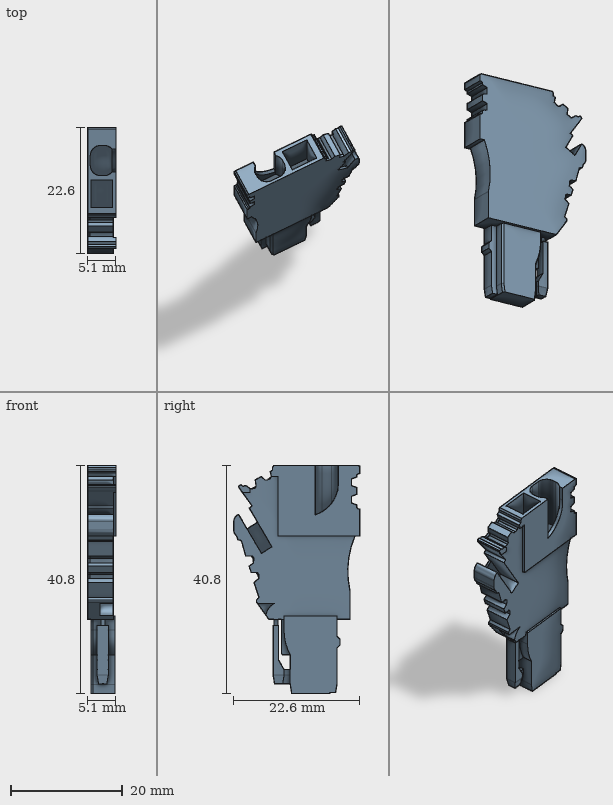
import cadquery as cq


FULL_WIDTH = 5.1
BODY_WIDTH = 4.6
HOUSING_HEIGHT = 27.5
TOP_DEPTH = 15.4
TOP_BEVEL_DEPTH = 0.3
TOP_BEVEL_DROP = 0.1
BROW_BEVEL_DROP = 0.36

BACK_LAND_TOP = 26.1
BACK_LAND_BOTTOM = 19.75
GRIP_FACE_DEPTH = 0.54
GRIP_NOTCH_DEPTH = 1.5
GRIP_NOTCH_HEIGHTS = (24.5, 21.4)
GRIP_NOTCH_FLOOR = 1.15
GRIP_NOTCH_MOUTH = 1.87
GRIP_CHAMFER = 0.25

PLATE_BOTTOM = 14.86
PLATE_FRONT_DEPTH = 14.6
BROW_PLATE_DEPTH = 16.15
BROW_PLATE_BOTTOM = 25.5
FANG_PLATE_DEPTH = 19.66
FANG_PLATE_LENGTH = 2.2
FANG_PLATE_BOTTOM = 22.65

WEB_WIDTH = 0.45

SLOT_FLOOR_FRONT = (20.16, 16.18)
SLOT_FLOOR_BACK = (18.3, 17.37)
SLOT_MOUTH_BACK = (19.77, 19.88)
SLOT_LEFT_WALL = 0.45
SLOT_EXTRA_RATIO = 1.75

ENTRY_LENGTH = 5.43
ENTRY_CORNER_RADIUS = 1.9
ENTRY_X = 2.65
ENTRY_DEPTH_POS = 5.92
ENTRY_X_MIN = 0.48
ENTRY_X_MAX = 4.4
ENTRY_BORE_DEPTH = 10.0
ENTRY_WINDOW = 4.12
ENTRY_WINDOW_BACK_DROP = 2.7
ENTRY_WINDOW_MID_DROP = 6.5
ENTRY_WINDOW_FRONT_DROP = 8.8

POCKET_X = (0.6, 4.45)
POCKET_DEPTHS = (9.37, 14.27)
POCKET_BORE_DEPTH = 10.0

RECESS_X_MIN = 2.24
RECESS_TOP = 2.85
RECESS_BOTTOM = 0.7
RECESS_BACK_DEPTH = 15.3
RECESS_MID = (16.2, 2.1)
RECESS_LIP_DEPTH = 16.8
RECESS_CLEARANCE_DEPTH = 19.0

PLUG_X_MIN = 0.6
PLUG_X_MAX = 4.95
PLUG_TOP = 0.65
PLUG_BOTTOM = -13.25
PLUG_BACK_DEPTH = 5.14
PLUG_FRONT_DEPTH = 12.46
PLUG_UPPER_FRONT_DEPTH = 13.55
PLUG_CURVE_TOP = -1.9
PLUG_CURVE_MID = (13.27, -4.2)
PLUG_CURVE_BOTTOM = -6.35
PLUG_TAPER_START = -11.6
PLUG_TAPER = 0.25
PLUG_CHAMFER_X = 0.4
PLUG_CHAMFER_DEPTH = 0.3

RIB_X_MIN = 2.6
RIB_BACK_DEPTH = 4.08
RIB_BOTTOM = -13.1
KEY_BACK_DEPTH = 3.55
KEY_HEIGHTS = (-5.1, -3.0)
KEY_SLOPE = 0.53

BLADE_X = (1.7, 3.72)
BLADE_DEPTHS = (14.52, 15.52)
BLADE_TOP = -1.05
BLADE_BOTTOM = -11.5
BLADE_TAPER_START = -9.95
BLADE_SIDE_TAPER = 0.28
BLADE_END_TAPER = 0.25
BLADE_TOE_DEPTH = 13.54
BLADE_TOE_SLOPE_TOP = -7.25
BLADE_TOE_TOP = -8.95
NECK_X = (2.42, 3.1)
NECK_DEPTHS = (14.6, 15.35)
FIN_FRONT_DEPTH = 14.04
FIN_CHAMFER = 0.25

JOIN = 0.5


def yz(points):
    """Turn (depth, height) pairs into (Y, Z) pairs."""
    return [(-depth, height) for depth, height in points]


def prism(points, x_range):
    """Extrude a closed (depth, height) polygon between two X positions."""
    start, end = x_range
    return cq.Workplane("YZ", (start, 0, 0)).polyline(yz(points)).close().extrude(end - start)


def block(x_range, depths, heights):
    """Box between two X positions, two depths and two heights."""
    near, far = depths
    low, high = heights
    return prism([(near, low), (far, low), (far, high), (near, high)], x_range)


def grip_back_points():
    """Toothed back edge, from the top down to the back land."""
    points = [
        (0, BACK_LAND_TOP),
        (GRIP_FACE_DEPTH, BACK_LAND_TOP - GRIP_CHAMFER),
    ]
    for middle in GRIP_NOTCH_HEIGHTS:
        points += [
            (GRIP_FACE_DEPTH, middle + GRIP_NOTCH_MOUTH / 2),
            (GRIP_NOTCH_DEPTH, middle + GRIP_NOTCH_FLOOR / 2),
            (GRIP_NOTCH_DEPTH, middle - GRIP_NOTCH_FLOOR / 2),
            (GRIP_FACE_DEPTH, middle - GRIP_NOTCH_MOUTH / 2),
        ]
    points += [
        (GRIP_FACE_DEPTH, BACK_LAND_BOTTOM + GRIP_CHAMFER),
        (GRIP_FACE_DEPTH - GRIP_CHAMFER, BACK_LAND_BOTTOM),
        (0, BACK_LAND_BOTTOM),
    ]
    return points


def housing_profile(x_range):
    """Full side outline of the housing, as (depth, height) corners, extruded between two X positions."""
    waist_top = (0.88, PLATE_BOTTOM)
    waist_middle = (2.14, 8.6)
    waist_bottom = (1.75, 5.1)
    lower_front = [
        (waist_bottom[0], 0), (16.27, 0),
        (18.48, 3.1), (18.48, 3.5), (18.05, 3.9),
        (18.93, 6.6), (18.05, 7.34),
        (18.28, 8.0), (18.54, 8.34), (19.42, 8.34),
        (19.8, 9.5), (19.04, 10.1),
        (19.1, 10.92), (19.47, 11.3), (20.42, 11.3),
        (21.14, 13.9), (21.35, 14.13), (21.8, 14.2),
        (22.05, 14.9),
    ]
    nose_underside = (22.42, 15.4)
    nose_bottom = (22.55, 16.0)
    nose_top = (22.55, 17.45)
    nose_middle = (22.28, 18.3)
    nose_tip = (21.66, 18.77)
    upper_front = [
        SLOT_FLOOR_FRONT, SLOT_FLOOR_BACK, SLOT_MOUTH_BACK,
        (19.28, 20.28), (21.2, 22.95),
        (21.66, 23.65), (21.6, 23.9), (21.26, 24.07),
        (20.9, 23.8), (20.4, 23.94), (19.47, 23.3),
        (18.56, 23.75), (18.7, 24.8), (18.7, 24.94),
        (17.62, 25.54), (16.97, 24.94), (16.53, 24.94),
        (15.85, 25.47), (15.97, 26.2),
        (16.1, 26.38), (15.62, 26.66),
        (15.62, HOUSING_HEIGHT - BROW_BEVEL_DROP),
        (TOP_DEPTH, HOUSING_HEIGHT),
        (TOP_BEVEL_DEPTH, HOUSING_HEIGHT),
    ]
    start, end = x_range
    top_back = (0, HOUSING_HEIGHT - TOP_BEVEL_DROP)
    down_back = [top_back] + grip_back_points() + [(0, PLATE_BOTTOM), waist_top]
    waist = yz([waist_middle, waist_bottom])
    underside = yz([nose_underside, nose_bottom])
    nose = yz([nose_middle, nose_tip])
    return (
        cq.Workplane("YZ", (start, 0, 0))
        .polyline(yz(down_back))
        .threePointArc(*waist)
        .polyline(yz(lower_front), includeCurrent=True)
        .threePointArc(*underside)
        .lineTo(*yz([nose_top])[0])
        .threePointArc(*nose)
        .polyline(yz(upper_front), includeCurrent=True)
        .close()
        .extrude(end - start)
    )


def side_plate():
    """Thin plate that widens the upper part of the housing on the right."""
    x_range = (BODY_WIDTH, FULL_WIDTH)
    main = block(x_range, (0, PLATE_FRONT_DEPTH), (PLATE_BOTTOM, HOUSING_HEIGHT))
    brow = block(x_range, (0, BROW_PLATE_DEPTH), (BROW_PLATE_BOTTOM, HOUSING_HEIGHT))
    fang_front = FANG_PLATE_DEPTH + FANG_PLATE_LENGTH
    fang = block(x_range, (FANG_PLATE_DEPTH, fang_front), (FANG_PLATE_BOTTOM, HOUSING_HEIGHT))
    return housing_profile(x_range).intersect(main.union(brow).union(fang))


def web_reliefs():
    """Slivers that deepen the finger grips, leaving thin webs on the left."""
    slivers = [
        [(18.05, 7.34), (18.03, 8.0), (18.28, 8.34), (18.54, 8.34), (18.28, 8.0)],
        [(19.04, 10.1), (18.88, 10.92), (19.2, 11.3), (19.47, 11.3), (19.1, 10.92)],
        [(18.56, 23.75), (18.75, 23.4), (19.47, 23.3)],
        [(15.85, 25.47), (16.05, 25.1), (16.53, 24.94)],
    ]
    x_range = (WEB_WIDTH, BODY_WIDTH)
    reliefs = prism(slivers[0], x_range)
    for sliver in slivers[1:]:
        reliefs = reliefs.union(prism(sliver, x_range))
    return reliefs


def latch_slot_extension():
    """Deep part of the latch slot, right of the thin wall that carries its floor."""
    step_depth = SLOT_EXTRA_RATIO * (SLOT_FLOOR_BACK[0] - SLOT_MOUTH_BACK[0])
    step_height = SLOT_EXTRA_RATIO * (SLOT_FLOOR_BACK[1] - SLOT_MOUTH_BACK[1])
    outline = [
        SLOT_FLOOR_FRONT,
        SLOT_FLOOR_BACK,
        (SLOT_FLOOR_BACK[0] + step_depth, SLOT_FLOOR_BACK[1] + step_height),
        (SLOT_FLOOR_FRONT[0] + step_depth, SLOT_FLOOR_FRONT[1] + step_height),
    ]
    return prism(outline, (SLOT_LEFT_WALL, BODY_WIDTH))


def entry_window():
    """Opening from the wire entry through the right side, with a curved floor."""
    back = ENTRY_DEPTH_POS - ENTRY_WINDOW / 2
    front = ENTRY_DEPTH_POS + ENTRY_WINDOW / 2
    middle = back + ENTRY_WINDOW / 4
    floor = yz([
        (middle, HOUSING_HEIGHT - ENTRY_WINDOW_MID_DROP),
        (front, HOUSING_HEIGHT - ENTRY_WINDOW_FRONT_DROP),
    ])
    top = yz([(front, HOUSING_HEIGHT), (back, HOUSING_HEIGHT)])
    return (
        cq.Workplane("YZ", (ENTRY_X_MAX, 0, 0))
        .moveTo(-back, HOUSING_HEIGHT - ENTRY_WINDOW_BACK_DROP)
        .threePointArc(*floor)
        .polyline(top, includeCurrent=True)
        .close()
        .extrude(FULL_WIDTH - ENTRY_X_MAX)
    )


def wire_entry():
    """Bore with rounded corners, cut flat on the right and open through the side."""
    floor = HOUSING_HEIGHT - ENTRY_BORE_DEPTH
    bore = (
        cq.Workplane("XY", (ENTRY_X, -ENTRY_DEPTH_POS, floor))
        .rect(2 * (ENTRY_X - ENTRY_X_MIN), ENTRY_LENGTH)
        .extrude(ENTRY_BORE_DEPTH)
        .edges("|Z")
        .fillet(ENTRY_CORNER_RADIUS)
    )
    depths = (ENTRY_DEPTH_POS - ENTRY_LENGTH / 2, ENTRY_DEPTH_POS + ENTRY_LENGTH / 2)
    limit = block((ENTRY_X_MIN, ENTRY_X_MAX), depths, (floor, HOUSING_HEIGHT))
    return bore.intersect(limit).union(entry_window())


def test_pocket():
    """Rectangular blind pocket in the top face."""
    return block(POCKET_X, POCKET_DEPTHS, (HOUSING_HEIGHT - POCKET_BORE_DEPTH, HOUSING_HEIGHT))


def front_recess():
    """Recess in the lower front slope with a curved ramp as its floor."""
    ramp_middle, ramp_end = yz([RECESS_MID, (RECESS_LIP_DEPTH, RECESS_BOTTOM)])
    outer = yz([(RECESS_CLEARANCE_DEPTH, RECESS_BOTTOM), (RECESS_CLEARANCE_DEPTH, RECESS_TOP)])
    return (
        cq.Workplane("YZ", (RECESS_X_MIN, 0, 0))
        .moveTo(-RECESS_BACK_DEPTH, RECESS_TOP)
        .threePointArc(ramp_middle, ramp_end)
        .polyline(outer, includeCurrent=True)
        .close()
        .extrude(BODY_WIDTH - RECESS_X_MIN)
    )


def plug_profile(shrink, x_range):
    """Side outline of the plug body, pulled in by shrink at the back and front."""
    start, end = x_range
    back = PLUG_BACK_DEPTH + shrink
    front = PLUG_FRONT_DEPTH - shrink
    upper_front = PLUG_UPPER_FRONT_DEPTH - shrink
    curve_depth, curve_height = PLUG_CURVE_MID
    outline = [
        (front, PLUG_CURVE_BOTTOM),
        (front, PLUG_TAPER_START),
        (front - PLUG_TAPER, PLUG_BOTTOM),
        (back + PLUG_TAPER, PLUG_BOTTOM),
        (back, PLUG_TAPER_START),
        (back, PLUG_TOP),
        (upper_front, PLUG_TOP),
        (upper_front, PLUG_CURVE_TOP),
    ]
    curve = yz([(curve_depth - shrink, curve_height), outline[0]])
    return (
        cq.Workplane("YZ", (start, 0, 0))
        .polyline(yz(outline))
        .threePointArc(*curve)
        .close()
        .extrude(end - start)
    )


def plug_body():
    """Plug body with its left edges bevelled by a ruled transition."""
    shoulder = PLUG_X_MIN + PLUG_CHAMFER_X
    body = plug_profile(0, (shoulder, PLUG_X_MAX))
    outer_wire = body.faces("<X").wires().val()
    cheek = plug_profile(PLUG_CHAMFER_DEPTH, (PLUG_X_MIN, shoulder))
    inner_wire = cheek.faces("<X").wires().val()
    bevel = cq.Solid.makeLoft([inner_wire, outer_wire], True)
    return body.union(cq.Workplane(bevel))


def plug_rib():
    """Rib along the back of the plug with its raised key."""
    key_low, key_high = KEY_HEIGHTS
    outline = [
        (RIB_BACK_DEPTH, PLUG_TOP),
        (RIB_BACK_DEPTH, key_high),
        (KEY_BACK_DEPTH, key_high - KEY_SLOPE),
        (KEY_BACK_DEPTH, key_low + KEY_SLOPE),
        (RIB_BACK_DEPTH, key_low),
        (RIB_BACK_DEPTH, PLUG_TAPER_START),
        (RIB_BACK_DEPTH + PLUG_TAPER, RIB_BOTTOM),
        (PLUG_BACK_DEPTH + JOIN, RIB_BOTTOM),
        (PLUG_BACK_DEPTH + JOIN, PLUG_TOP),
    ]
    return prism(outline, (RIB_X_MIN, PLUG_X_MAX))


def tapered_tip(points, x_range):
    """Prism whose two flanks lean inwards below the blade taper line."""
    left, right = x_range
    front_outline = [
        (left, 0),
        (left, BLADE_TAPER_START),
        (left + BLADE_SIDE_TAPER, BLADE_BOTTOM),
        (right - BLADE_SIDE_TAPER, BLADE_BOTTOM),
        (right, BLADE_TAPER_START),
        (right, 0),
    ]
    reach = 2 * BLADE_DEPTHS[1]
    envelope = cq.Workplane("XZ").polyline(front_outline).close().extrude(reach)
    return prism(points, x_range).intersect(envelope)


def contact():
    """Contact blade with neck, guide fin and the foot that ties it to the plug."""
    back, front = BLADE_DEPTHS
    blade_outline = [
        (back, BLADE_TOP),
        (back, BLADE_TOE_SLOPE_TOP),
        (BLADE_TOE_DEPTH, BLADE_TOE_TOP),
        (BLADE_TOE_DEPTH, BLADE_TAPER_START),
        (BLADE_TOE_DEPTH + BLADE_END_TAPER, BLADE_BOTTOM),
        (front - BLADE_END_TAPER, BLADE_BOTTOM),
        (front, BLADE_TAPER_START),
        (front, BLADE_TOP),
    ]
    inside = PLUG_FRONT_DEPTH - JOIN
    foot_front = BLADE_TOE_DEPTH + JOIN
    foot_outline = [
        (inside, BLADE_TOE_TOP),
        (foot_front, BLADE_TOE_TOP),
        (foot_front, BLADE_BOTTOM),
        (inside, BLADE_BOTTOM),
    ]
    fin_outline = [
        (inside, PLUG_TOP),
        (FIN_FRONT_DEPTH, PLUG_TOP),
        (FIN_FRONT_DEPTH, PLUG_CURVE_BOTTOM + FIN_CHAMFER),
        (FIN_FRONT_DEPTH - FIN_CHAMFER, PLUG_CURVE_BOTTOM),
        (inside, PLUG_CURVE_BOTTOM),
    ]
    neck = block(NECK_X, NECK_DEPTHS, (BLADE_TOP - JOIN, JOIN))
    blade = tapered_tip(blade_outline, BLADE_X)
    foot = tapered_tip(foot_outline, NECK_X)
    return blade.union(foot).union(neck).union(prism(fin_outline, NECK_X))


housing = housing_profile((0, BODY_WIDTH)).union(side_plate())
housing = housing.cut(web_reliefs()).cut(latch_slot_extension()).cut(front_recess())
housing = housing.cut(wire_entry()).cut(test_pocket())
result = housing.union(plug_body()).union(plug_rib()).union(contact())